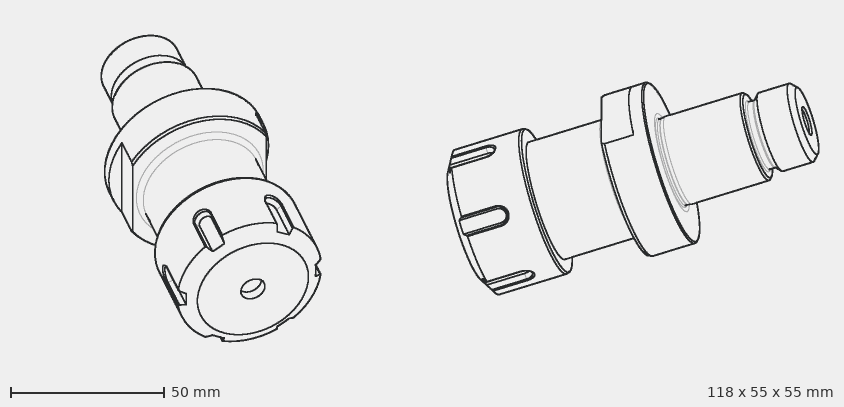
import cadquery as cq
import math

NECK_START = 14.4
SHANK_START = 17.1
FLANGE_START = 47.0
FLANGE_END = 63.0
NUT_START = 90.2
NUT_CONE_START = 114.4
NUT_END = 118.0

BORE_RADIUS = 4.1
TAIL_RADIUS = 13.5
NECK_RADIUS = 11.6
SHANK_RADIUS = 15.0
FLANGE_RADIUS = 27.5
BODY_RADIUS = 20.0
NUT_RADIUS = 24.8
NUT_FACE_RADIUS = 19.1

BORE_CHAMFER = 0.7
TAIL_CHAMFER = 2.0
NECK_FILLET = 0.6
SHANK_CHAMFER = 0.7
FLANGE_FRONT_CHAMFER = 0.5
FLANGE_BACK_CHAMFER_LENGTH = 1.1
FLANGE_BACK_CHAMFER_DROP = 0.5
BODY_FILLET = 1.8

UNDERCUT_LENGTH = 2.5
UNDERCUT_DEPTH = 0.2
UNDERCUT_RAMP = 1.3
UNDERCUT_RAMP_FILLET = 1.0
UNDERCUT_CORNER_FILLET = 0.5
UNDERCUT_RIM_RADIUS = 16.7

FLAT_START = 51.9
FLAT_OFFSET = 23.0

NUT_CHAMFER_LENGTH = 0.8
NUT_CHAMFER_DROP = 0.4

SLOT_COUNT = 6
SLOT_ARC_CENTRE = 102.7
SLOT_FLOOR_WIDTH = 4.7
SLOT_FLOOR_RADIUS = 22.3
SLOT_RIM_RADIUS = 24.2
SLOT_WALL_DRAFT = 20
SLOT_RIM_DRAFT = 45
SLOT_CLEARANCE = 0.6


def revolve_about_x(profile):
    return profile.close().revolve(360, (0, 0, 0), (1, 0, 0))


def add_rounded_corner(profile, before, corner, after, fillet):
    """Draw a line to a corner and round it with an arc tangent to the sides from before and to after."""
    point = cq.Vector(*corner)
    back = (cq.Vector(*before) - point).normalized()
    ahead = (cq.Vector(*after) - point).normalized()
    half_angle = back.getAngle(ahead) / 2
    setback = fillet / math.tan(half_angle)
    corner_gap = fillet / math.sin(half_angle) - fillet
    middle = point + (back + ahead).normalized() * corner_gap
    start = point + back * setback
    end = point + ahead * setback
    return profile.lineTo(start.x, start.y).threePointArc((middle.x, middle.y), (end.x, end.y))


def make_arbor_blank():
    """Turned arbor, running from its tail face to the bottom of the nut socket."""
    tail_end = (NECK_START - (TAIL_RADIUS - NECK_RADIUS), TAIL_RADIUS)
    neck_start = (NECK_START, NECK_RADIUS)
    neck_end = (SHANK_START, NECK_RADIUS)
    shank_edge = (SHANK_START, SHANK_RADIUS - SHANK_CHAMFER)
    profile = (
        cq.Workplane("XY")
        .moveTo(BORE_CHAMFER, BORE_RADIUS)
        .lineTo(0, BORE_RADIUS + BORE_CHAMFER)
        .lineTo(0, TAIL_RADIUS - TAIL_CHAMFER)
        .lineTo(TAIL_CHAMFER, TAIL_RADIUS)
        .lineTo(*tail_end)
    )
    profile = add_rounded_corner(profile, tail_end, neck_start, neck_end, NECK_FILLET)
    profile = add_rounded_corner(profile, neck_start, neck_end, shank_edge, NECK_FILLET)

    undercut_start = (FLANGE_START - UNDERCUT_LENGTH, SHANK_RADIUS)
    undercut_radius = SHANK_RADIUS - UNDERCUT_DEPTH
    ramp_end = (FLANGE_START - UNDERCUT_LENGTH + UNDERCUT_RAMP, undercut_radius)
    undercut_corner = (FLANGE_START + UNDERCUT_DEPTH, undercut_radius)
    undercut_rim = (FLANGE_START, UNDERCUT_RIM_RADIUS)
    profile = (
        profile.lineTo(*shank_edge)
        .lineTo(SHANK_START + SHANK_CHAMFER, SHANK_RADIUS)
        .lineTo(*undercut_start)
    )
    profile = add_rounded_corner(profile, undercut_start, ramp_end, undercut_corner, UNDERCUT_RAMP_FILLET)
    profile = add_rounded_corner(profile, ramp_end, undercut_corner, undercut_rim, UNDERCUT_CORNER_FILLET)

    flange_back_edge = (FLANGE_END, FLANGE_RADIUS - FLANGE_BACK_CHAMFER_DROP)
    body_start = (FLANGE_END, BODY_RADIUS)
    body_end = (NUT_CONE_START, BODY_RADIUS)
    profile = (
        profile.lineTo(*undercut_rim)
        .lineTo(FLANGE_START, FLANGE_RADIUS - FLANGE_FRONT_CHAMFER)
        .lineTo(FLANGE_START + FLANGE_FRONT_CHAMFER, FLANGE_RADIUS)
        .lineTo(FLANGE_END - FLANGE_BACK_CHAMFER_LENGTH, FLANGE_RADIUS)
        .lineTo(*flange_back_edge)
    )
    profile = add_rounded_corner(profile, flange_back_edge, body_start, body_end, BODY_FILLET)
    profile = profile.lineTo(*body_end).lineTo(NUT_CONE_START, BORE_RADIUS)
    return revolve_about_x(profile)


def cut_wrench_flats(arbor):
    """Mill parallel flats, on the -Y and +Y sides, into the nut end of the flange."""
    length = FLANGE_END - FLAT_START
    depth = FLANGE_RADIUS - FLAT_OFFSET
    for side in (-1, 1):
        cutter = cq.Workplane("XY").box(length, depth, 2 * FLANGE_RADIUS, centered=(False, True, True))
        arbor = arbor.cut(cutter.translate((FLAT_START, side * (FLAT_OFFSET + depth / 2), 0)))
    return arbor


def make_nut_blank():
    """Turned nut with a socket for the arbor body and a bore through its closed end."""
    profile = (
        cq.Workplane("XY")
        .moveTo(NUT_START, BODY_RADIUS)
        .lineTo(NUT_START, NUT_RADIUS - NUT_CHAMFER_DROP)
        .lineTo(NUT_START + NUT_CHAMFER_LENGTH, NUT_RADIUS)
        .lineTo(NUT_CONE_START, NUT_RADIUS)
        .lineTo(NUT_END, NUT_FACE_RADIUS)
        .lineTo(NUT_END, BORE_RADIUS)
        .lineTo(NUT_CONE_START, BORE_RADIUS)
        .lineTo(NUT_CONE_START, BODY_RADIUS)
    )
    return revolve_about_x(profile)


def make_slot_layer(inner_radius, outer_radius, half_width, draft):
    """Round-ended slot on the -Y side that widens outward by the draft angle."""
    return (
        cq.Workplane("XZ", origin=(0, -inner_radius, 0))
        .moveTo(NUT_END, -half_width)
        .lineTo(SLOT_ARC_CENTRE, -half_width)
        .threePointArc((SLOT_ARC_CENTRE - half_width, 0), (SLOT_ARC_CENTRE, half_width))
        .lineTo(NUT_END, half_width)
        .close()
        .extrude(outer_radius - inner_radius, taper=-draft)
    )


def make_slot_cutter():
    floor_half_width = SLOT_FLOOR_WIDTH / 2
    wall_height = SLOT_RIM_RADIUS - SLOT_FLOOR_RADIUS
    rim_half_width = floor_half_width + wall_height * math.tan(math.radians(SLOT_WALL_DRAFT))
    wall_layer = make_slot_layer(SLOT_FLOOR_RADIUS, SLOT_RIM_RADIUS, floor_half_width, SLOT_WALL_DRAFT)
    rim_layer = make_slot_layer(
        SLOT_RIM_RADIUS, NUT_RADIUS + SLOT_CLEARANCE, rim_half_width, SLOT_RIM_DRAFT
    )
    return wall_layer.union(rim_layer)


def cut_wrench_slots(nut):
    cutter = make_slot_cutter()
    for index in range(SLOT_COUNT):
        nut = nut.cut(cutter.rotate((0, 0, 0), (1, 0, 0), index * 360 / SLOT_COUNT))
    return nut


arbor = cut_wrench_flats(make_arbor_blank())
nut = cut_wrench_slots(make_nut_blank())

result = cq.Compound.makeCompound([arbor.solids().val(), nut.solids().val()])